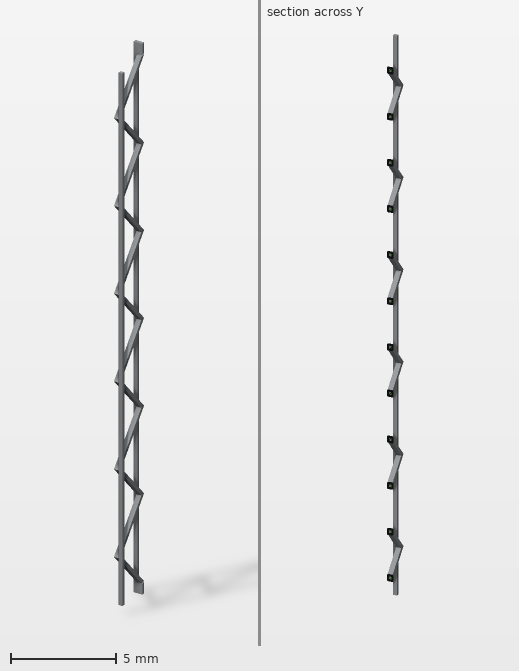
import cadquery as cq
import math

length = 30.0
overall_depth = 2.38
overall_thickness = 0.686

rail_layer = 0.21
lacing_layer = overall_thickness - 2 * rail_layer

rail_width = 0.17
short_rail_length = 29.0
end_block_length = 0.6

bay_count = 6
bay_pitch = 4.78
lacing_width = 0.18

x_long_rail = -overall_thickness / 2
x_lacing = x_long_rail + rail_layer
x_short_rail = x_lacing + lacing_layer
y_outer = overall_depth / 2
y_long_rail = y_outer - rail_width
y_short_rail = -y_outer
half_pitch = bay_pitch / 2

mitre_reach = lacing_width / 2 * math.hypot(overall_depth, half_pitch) / half_pitch


def bar(x_start, thickness, y_start, z_start, bar_length):
    """Rectangular bar along Z, placed by its lowest corner."""
    blank = cq.Workplane("XY").box(thickness, rail_width, bar_length, centered=False)
    return blank.translate((x_start, y_start, z_start))


def zigzag_edge(shift):
    """Corner points of the zigzag centreline, moved by shift along Y.

    The outermost corner points of the finished strip lie on the outer edges of the rails.
    """
    node_y = y_outer - mitre_reach
    points = []
    for node in range(2 * bay_count + 1):
        side = 1 if node % 2 == 0 else -1
        points.append((side * node_y + shift, (node - bay_count) * half_pitch))
    return points


def make_lacing():
    """Continuous mitred zigzag strip between the two rails."""
    outline = zigzag_edge(mitre_reach) + zigzag_edge(-mitre_reach)[::-1]
    strip = cq.Workplane("YZ").polyline(outline).close().extrude(lacing_layer)
    return strip.translate((x_lacing, 0, 0))


def make_end_blocks():
    """Blocks that thicken the long rail to the depth of the lacing at both ends."""
    lower = bar(x_lacing, lacing_layer, y_long_rail, -length / 2, end_block_length)
    upper = bar(x_lacing, lacing_layer, y_long_rail, length / 2 - end_block_length, end_block_length)
    return lower.union(upper)


def make_long_rail():
    """Full-length rail on the +Y side, with its end blocks."""
    return bar(x_long_rail, rail_layer, y_long_rail, -length / 2, length).union(make_end_blocks())


def make_short_rail():
    """Shorter rail on the -Y side."""
    return bar(x_short_rail, rail_layer, y_short_rail, -short_rail_length / 2, short_rail_length)


result = make_long_rail().union(make_lacing()).union(make_short_rail())